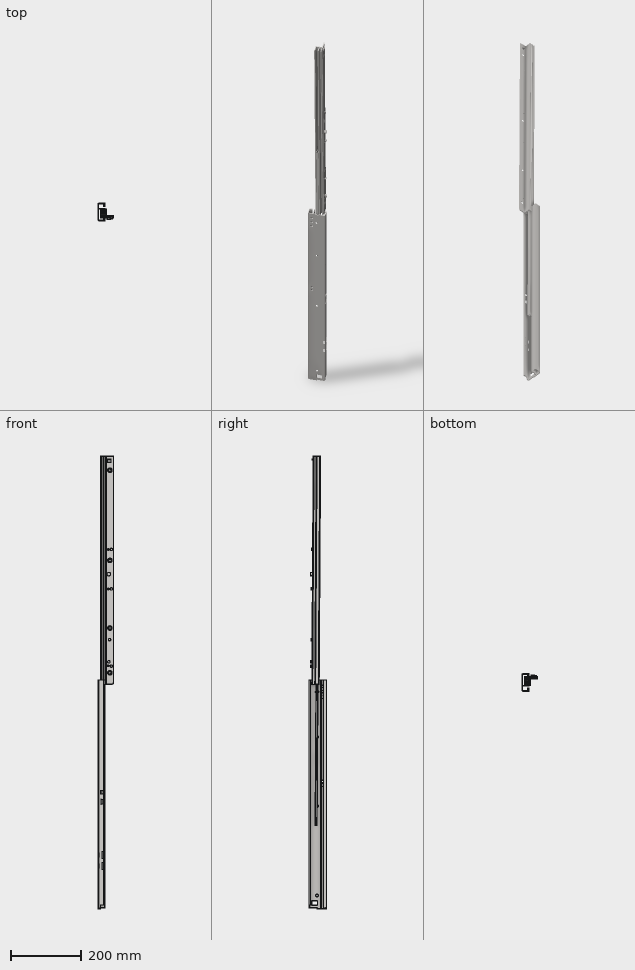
import cadquery as cq
import math


total_width = 44.45
total_height = 1285.14

housing_length = 650.0
housing_height = 50.3
housing_depth = 20.0
housing_wall = 2.0
bend_radius = 4.0
shelf_top = 10.5
upper_lip_height = 9.0
lower_lip_height = 5.0
lip_wall = 3.5
end_relief = 3.0
end_relief_start = 8.0
lower_flange_relief = 11.0
upper_row = 13.5
lower_row = -2.0
web_slot_length = 9.0
web_slot_width = 5.0
web_slot_places = ((upper_row, 632.0), (upper_row, 616.0), (lower_row, 616.0), (upper_row, 601.0))
web_hole_diameter = 7.0
web_hole_places = (
    (lower_row, 488.0),
    (upper_row, 362.0),
    (upper_row, 351.0),
    (lower_row, 292.0),
    (lower_row, 38.0),
)
web_notch_y = (-6.5, -1.5)
web_notch_depth = 5.0
web_window_y = (-17.0, -1.0)
web_window_z = (11.0, 23.0)
web_end_relief_top = -2.0
flange_hole_x = 12.0
flange_hole_z = 331.0
flange_hole_diameter = 10.0
flange_window_x = (9.0, 15.0)
flange_window_z = (297.0, 311.0)
slot_pair_heights = (153.0, 122.0)
bend_slot_x = (0.0, 3.0)
bend_slot_length = 12.0
flange_slot_x = (11.5, 15.5)
flange_slot_length = 20.0

rail_length = 648.0
rail_tilt = -0.36
rail_back = 7.0
rail_front = 25.0
rail_wall = 2.6
rail_top = 8.2
rib_top = -1.9
plate_face = -13.0
plate_corner_radius = 6.0
race_radius = 2.0
race_depth = 1.0
race_positions = (12.5, 19.5)
screw_hole_x = 34.0
screw_hole_diameter = 7.0
screw_head_diameter = 13.0
screw_head_angle = 120.0
screw_hole_heights = (1245.0, 989.0, 797.0, 670.0)
boss_diameter = 7.0
boss_height = 3.5
boss_places = ((38.0, 1020.0), (38.0, 908.0), (33.0, 764.0), (31.0, 701.0), (38.0, 689.0))
pin_x = 31.0
pin_height_on_rail = 950.0
pin_diameter = 10.0
pin_length = 6.0
small_hole_diameter = 4.0
small_hole_places = ((29.0, 1020.0), (29.0, 908.0), (29.0, 690.0))
window_x = 31.5
window_width = 10.0
window_height = 7.0
window_below_end = 14.0
tab_thickness = 2.5
tab_length = 3.0

middle_length = 650.0
middle_top = 886.0
middle_wall = 1.2
middle_depth = 13.0
middle_clearance = 0.8

half_height = housing_height / 2
rail_end = total_height - plate_face * math.sin(math.radians(rail_tilt))


def block(x_range, y_range, z_range):
    """Box between the given limits along each axis."""
    size = [high - low for low, high in (x_range, y_range, z_range)]
    corner = (x_range[0], y_range[0], z_range[0])
    return cq.Workplane("XY").box(*size, centered=False).translate(corner)


def span(middle, length):
    """Limits of a stretch of the given length about its middle."""
    return (middle - length / 2, middle + length / 2)


def tilt(body):
    """Lean a rail about X so that its lower end moves towards -Y."""
    return body.rotate((0, 0, rail_end), (1, 0, rail_end), rail_tilt)


def housing_profile():
    """Channel with inward lips on both flanges and a shelf between them."""
    inner_top = half_height - housing_wall
    lip_start = housing_depth - lip_wall
    shelf_bottom = shelf_top - housing_wall
    return cq.Workplane("XY").polyline([
        (0, -half_height),
        (housing_depth, -half_height),
        (housing_depth, lower_lip_height - half_height),
        (lip_start, lower_lip_height - half_height),
        (lip_start, -inner_top),
        (housing_wall, -inner_top),
        (housing_wall, shelf_bottom),
        (housing_depth, shelf_bottom),
        (housing_depth, shelf_top),
        (housing_wall, shelf_top),
        (housing_wall, inner_top),
        (lip_start, inner_top),
        (lip_start, half_height - upper_lip_height),
        (housing_depth, half_height - upper_lip_height),
        (housing_depth, half_height),
        (0, half_height),
    ]).close()


def web_plane(places):
    """Sketch plane on the back of the housing, whose points are (Y, Z)."""
    return cq.Workplane("YZ").pushPoints(places)


def make_housing():
    body = housing_profile().extrude(housing_length)
    body = body.edges("|Z and <X").fillet(bend_radius)

    slots = web_plane(web_slot_places).slot2D(web_slot_length, web_slot_width).extrude(housing_wall)
    holes = web_plane(web_hole_places).circle(web_hole_diameter / 2).extrude(housing_wall)
    body = body.cut(slots).cut(holes)

    flange_range = (-half_height, housing_wall - half_height)
    flange_hole = (
        cq.Workplane("XZ", origin=(flange_hole_x, -half_height, flange_hole_z))
        .circle(flange_hole_diameter / 2)
        .extrude(-housing_wall)
    )
    body = body.cut(flange_hole).cut(block(flange_window_x, flange_range, flange_window_z))

    bend_range = (-half_height, bend_radius - half_height)
    for slot_z in slot_pair_heights:
        body = body.cut(block(bend_slot_x, bend_range, span(slot_z, bend_slot_length)))
        body = body.cut(block(flange_slot_x, flange_range, span(slot_z, flange_slot_length)))

    web_range = (0, housing_wall)
    body = body.cut(block(web_range, web_notch_y, (housing_length - web_notch_depth, housing_length)))
    body = body.cut(block(web_range, web_window_y, web_window_z))

    front_range = (end_relief_start, housing_depth)
    body = body.cut(block(front_range, (-half_height, half_height), (0, end_relief)))
    body = body.cut(block(front_range, (-half_height, 0), (0, lower_flange_relief)))
    return body.cut(block((0, housing_depth), (-half_height, web_end_relief_top), (0, end_relief)))


def plate_plane(x, z):
    """Sketch plane on the outer face of the plate, with its normal towards -Y."""
    return cq.Workplane("XZ", origin=(x, plate_face, z))


def make_drawer_rail():
    rail_start = rail_end - rail_length
    z_range = (rail_start, rail_end)
    plate_back = plate_face + rail_wall

    body = block((rail_back, total_width), (plate_face, plate_back), z_range)
    body = body.edges("|Y and >X").edges("<Z").fillet(plate_corner_radius)
    body = body.union(block((rail_front - rail_wall, rail_front), (plate_face, rail_top), z_range))
    body = body.union(block((rail_back, rail_front), (rail_top - rail_wall, rail_top), z_range))
    body = body.union(block((rail_back, rail_front), (rib_top - rail_wall, rib_top), z_range))

    race_offset = race_radius - race_depth
    for x in race_positions:
        for y in (plate_face - race_offset, rail_top + race_offset):
            race = cq.Workplane("XY", origin=(x, y, rail_start)).circle(race_radius).extrude(rail_length)
            body = body.cut(race)

    for x, z in boss_places:
        body = body.union(plate_plane(x, z).circle(boss_diameter / 2).extrude(boss_height))
    pin = plate_plane(pin_x, pin_height_on_rail).circle(pin_diameter / 2).extrude(pin_length)
    body = body.union(pin)

    head_depth = (screw_head_diameter - screw_hole_diameter) / 2
    head_depth = head_depth / math.tan(math.radians(screw_head_angle / 2))
    for z in screw_hole_heights:
        hole = plate_plane(screw_hole_x, z).circle(screw_hole_diameter / 2).extrude(-rail_wall)
        head = cq.Solid.makeCone(
            screw_head_diameter / 2,
            screw_hole_diameter / 2,
            head_depth,
            cq.Vector(screw_hole_x, plate_face, z),
            cq.Vector(0, 1, 0),
        )
        body = body.cut(hole).cut(cq.Workplane(head))
    for x, z in small_hole_places:
        body = body.cut(plate_plane(x, z).circle(small_hole_diameter / 2).extrude(-rail_wall))

    window_z = rail_end - window_below_end
    window = plate_plane(window_x, window_z).rect(window_width, window_height).extrude(-rail_wall)
    tab_z = window_z + (window_height + tab_thickness) / 2
    tab = plate_plane(window_x, tab_z).rect(window_width, tab_thickness).extrude(tab_length)
    return tilt(body.cut(window).union(tab))


def make_intermediate_rail():
    z_range = (middle_top - middle_length, middle_top)
    top = rail_top - rail_wall - middle_clearance
    bottom = rib_top + middle_clearance
    front = rail_back + middle_depth
    outside = block((rail_back, front), (bottom, top), z_range)
    inside = block((rail_back + middle_wall, front), (bottom + middle_wall, top - middle_wall), z_range)
    return tilt(outside.cut(inside))


housing = make_housing()
intermediate_rail = make_intermediate_rail()
drawer_rail = make_drawer_rail()

result = cq.Compound.makeCompound([housing.val(), intermediate_rail.val(), drawer_rail.val()])